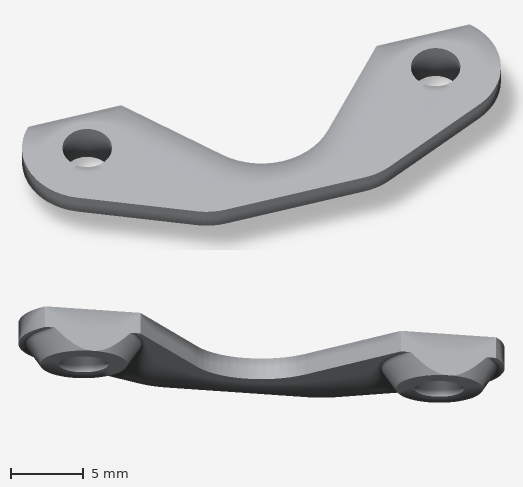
import cadquery as cq
import math

length = 34.0
width = 11.0
height = 3.0
plate_thickness = 1.5
corner_radius = 4.5
hole_x = 3.0
hole_diameter = 3.4
outer_corner_y = 5.0
notch_radius = 5.0
boss_top_radius = 4.0
boss_bottom_radius = 3.0

hole_y = length / 2 - corner_radius
outer_corner_x = width - corner_radius
plate_bottom = height - plate_thickness
hole_points = [(hole_x, hole_y), (hole_x, -hole_y)]


def on_circle(center_x, center_y, radius, angle):
    """Point on a circle at an angle measured from +X."""
    return (center_x + radius * math.cos(angle), center_y + radius * math.sin(angle))


def mirrored(point):
    """The same point on the other side of the XZ plane."""
    return (point[0], -point[1])


def make_plate():
    """Bracket plate: tangent lines and arcs, symmetric about the XZ plane."""
    slant = math.atan2(outer_corner_x - hole_x, hole_y - outer_corner_y)
    corner_start = (width, outer_corner_y)
    corner_middle = on_circle(outer_corner_x, outer_corner_y, corner_radius, slant / 2)
    corner_end = on_circle(outer_corner_x, outer_corner_y, corner_radius, slant)
    end_start = on_circle(hole_x, hole_y, corner_radius, slant)
    end_middle = (hole_x, length / 2)
    end_half_chord = math.sqrt(corner_radius**2 - hole_x**2)
    end_finish = (0, hole_y + end_half_chord)

    tangent_angle = math.asin((corner_radius + notch_radius) / hole_y)
    end_tangent = on_circle(hole_x, hole_y, corner_radius, tangent_angle + math.pi)
    mouth = (0, hole_y - end_half_chord)
    mouth_angle = math.pi + math.atan2(end_half_chord, hole_x)
    mouth_middle_angle = (mouth_angle + tangent_angle + math.pi) / 2
    mouth_middle = on_circle(hole_x, hole_y, corner_radius, mouth_middle_angle)
    notch_tangent = on_circle(hole_x, 0, notch_radius, tangent_angle)
    notch_middle = (hole_x + notch_radius, 0)

    return (
        cq.Workplane("XY", origin=(0, 0, plate_bottom))
        .moveTo(*mirrored(corner_start))
        .lineTo(*corner_start)
        .threePointArc(corner_middle, corner_end)
        .lineTo(*end_start)
        .threePointArc(end_middle, end_finish)
        .lineTo(*mouth)
        .threePointArc(mouth_middle, end_tangent)
        .lineTo(*notch_tangent)
        .threePointArc(notch_middle, mirrored(notch_tangent))
        .lineTo(*mirrored(end_tangent))
        .threePointArc(mirrored(mouth_middle), mirrored(mouth))
        .lineTo(*mirrored(end_finish))
        .threePointArc(mirrored(end_middle), mirrored(end_start))
        .lineTo(*mirrored(corner_end))
        .threePointArc(mirrored(corner_middle), mirrored(corner_start))
        .close()
        .extrude(plate_thickness)
    )


def make_boss(center):
    """Tapered round boss under the plate, cut flush with the left side."""
    cone = cq.Solid.makeCone(
        boss_bottom_radius, boss_top_radius, plate_bottom, pnt=cq.Vector(*center, 0)
    )
    keep = cq.Workplane("XY").box(width, length, height, centered=(False, True, False))
    return keep.intersect(cq.Workplane(cone))


result = make_plate()
for hole_point in hole_points:
    result = result.union(make_boss(hole_point))

holes = cq.Workplane("XY").pushPoints(hole_points).circle(hole_diameter / 2).extrude(height)
result = result.cut(holes)